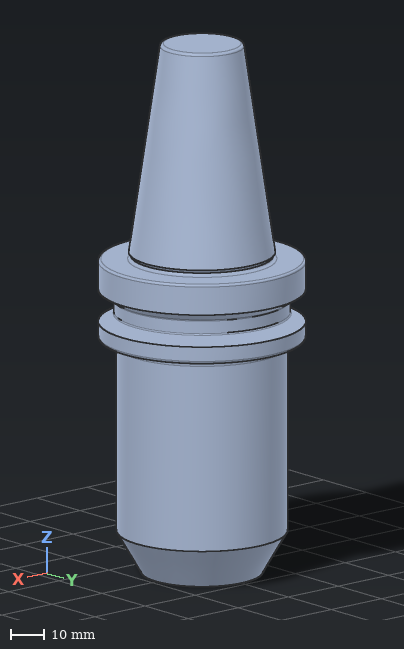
import cadquery as cq
import math


taper_length = 65.4
gauge_radius = 44.45 / 2
taper_ratio = 7 / 24
taper_end_radius = gauge_radius - taper_length * taper_ratio / 2
taper_end_round = 1.0

flange_top = -2.0
relief_depth = 0.6
relief_neck_radius = gauge_radius - relief_depth
relief_fillet = 1.0

flange_radius = 63.0 / 2
flange_bottom = -27.0
flange_top_round = 0.75
flange_bottom_round = 1.0
groove_center = -16.6
groove_mouth_half_width = 5.0
groove_floor_radius = 53.5 / 2
groove_floor_fillet = 0.5
groove_flank_angle = math.radians(30)
groove_flank_height = (flange_radius - groove_floor_radius) * math.tan(groove_flank_angle)
groove_floor_half_width = groove_mouth_half_width - groove_flank_height

body_radius = 52.0 / 2
body_fillet = 2.0
nose_bottom = -100.0
nose_height = 13.0
nose_half_angle = math.radians(30)
nose_end_radius = body_radius - nose_height * math.tan(nose_half_angle)


def make_shank_and_relief():
    """Taper shank, rounded at its small end, standing on the filleted relief neck."""
    neck_top = flange_top + relief_fillet
    profile = (
        cq.Workplane("XZ")
        .moveTo(0, flange_top)
        .lineTo(relief_neck_radius + relief_fillet, flange_top)
        .radiusArc((relief_neck_radius, neck_top), relief_fillet)
        .lineTo(gauge_radius, 0)
        .lineTo(taper_end_radius, taper_length)
        .lineTo(0, taper_length)
        .close()
    )
    shank = profile.revolve(360, (0, 0, 0), (0, 1, 0))
    return shank.faces(">Z").edges().fillet(taper_end_round)


def make_flange():
    """Round flange with rounded rims and a V-flanked gripper groove."""
    flange = (
        cq.Workplane("XY", origin=(0, 0, flange_bottom))
        .circle(flange_radius)
        .extrude(flange_top - flange_bottom)
        .faces(">Z")
        .edges()
        .fillet(flange_top_round)
        .faces("<Z")
        .edges()
        .fillet(flange_bottom_round)
    )
    groove = (
        cq.Workplane("XZ")
        .moveTo(flange_radius, groove_center + groove_mouth_half_width)
        .lineTo(groove_floor_radius, groove_center + groove_floor_half_width)
        .lineTo(groove_floor_radius, groove_center - groove_floor_half_width)
        .lineTo(flange_radius, groove_center - groove_mouth_half_width)
        .close()
        .revolve(360, (0, 0, 0), (0, 1, 0))
        .edges(cq.selectors.RadiusNthSelector(0))
        .fillet(groove_floor_fillet)
    )
    return flange.cut(groove)


def make_body():
    """Cylindrical body, filleted into the flange and ending in a conical nose."""
    profile = (
        cq.Workplane("XZ")
        .moveTo(0, flange_bottom)
        .lineTo(body_radius + body_fillet, flange_bottom)
        .radiusArc((body_radius, flange_bottom - body_fillet), -body_fillet)
        .lineTo(body_radius, nose_bottom + nose_height)
        .lineTo(nose_end_radius, nose_bottom)
        .lineTo(0, nose_bottom)
        .close()
    )
    return profile.revolve(360, (0, 0, 0), (0, 1, 0))


result = make_flange().union(make_shank_and_relief()).union(make_body())